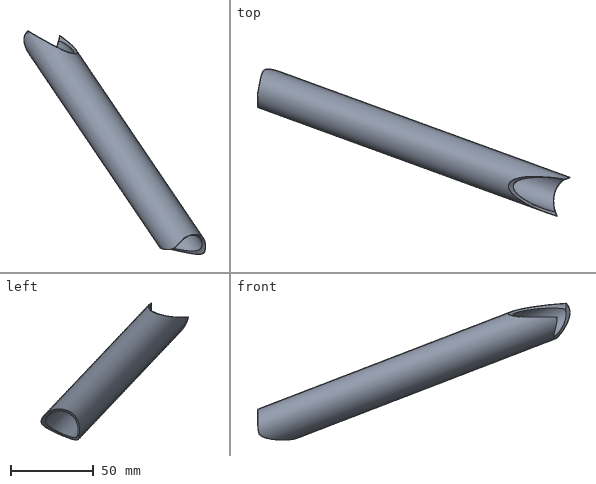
import cadquery as cq

tube_radius = 12.5
wall = 1.7
tube_direction = cq.Vector(1, -0.3645, 0.385).normalized()
tube_half_length = 111.8
bar_half_length = 94.3

upper_end_bars = [
    (111.8, 0.0, 15.3, cq.Vector(-0.065, -0.069, 0.995)),
    (111.8, 0.0, 12.6, cq.Vector(0.968, -0.137, -0.21)),
]
lower_end_bars = [
    (-108.6, 0.2, 13.8, cq.Vector(-0.85, -0.043, 0.525)),
    (-108.0, -1.23, 12.8, cq.Vector(0.8, 0.273, -0.534)),
]


def rod(centre, direction, radius, half_length):
    """Solid cylinder centred on a point."""
    unit = direction.normalized()
    return cq.Solid.makeCylinder(radius, 2 * half_length, centre - unit * half_length, unit)


def crossing_bar(distance, offset, radius, direction):
    """Bar passing the tube axis, offset square to both the tube and the bar."""
    sideways = tube_direction.cross(direction).normalized()
    centre = tube_direction * distance + sideways * offset
    return rod(centre, direction, radius, bar_half_length)


middle = cq.Vector(0, 0, 0)
bore = rod(middle, tube_direction, tube_radius - wall, tube_half_length)
tube = rod(middle, tube_direction, tube_radius, tube_half_length).cut(bore)

for bar in upper_end_bars + lower_end_bars:
    tube = tube.cut(crossing_bar(*bar))

main_tube = max(tube.Solids(), key=lambda solid: solid.Volume())
result = cq.Workplane("XY").newObject([main_tube])